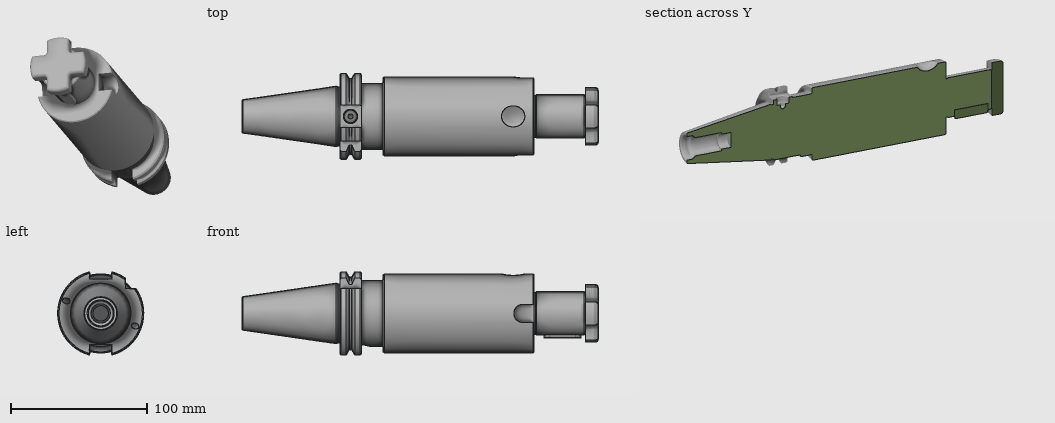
import cadquery as cq
import math


TOTAL_LENGTH = 261.5
GAUGE_X = 69.0
RELIEF_START_X = 70.3
FLANGE_START_X = 71.5
FLANGE_END_X = 87.5
BODY_START_X = 103.5
BODY_END_X = 214.3
ARBOR_END_X = 252.0

TAPER_SMALL_R = 12.3
TAPER_LARGE_R = 22.2
RELIEF_R = 21.7
FLANGE_R = 63.3 / 2
NECK_R = 48.5 / 2
BODY_R = 29.0
ARBOR_R = 16.0
UNDERCUT_R = 15.5
UNDERCUT_WIDTH = 1.0

TAPER_CHAMFER = 0.5
FLANGE_CHAMFER = 1.0
BODY_CHAMFER = 0.8
ARBOR_CHAMFER = 1.0
NECK_FILLET = 0.8

GROOVE_X = 79.5
GROOVE_DEPTH = 3.7
GROOVE_FLOOR_HALF = 1.0
GROOVE_FILLET = 0.5
GROOVE_WALL_ANGLE = 30.0

LEAD_R = 9.1
LEAD_DEPTH = 5.0
THREAD_R = 7.0
THREAD_DEPTH = 28.8
BORE_CHAMFER = 0.8
BORE_END_R = 5.8
BORE_DEPTH = 36.5

DRIVE_SLOT_WIDTH = 16.5
DRIVE_SLOT_ROUND_X = 85.7
UPPER_SLOT_FLOOR = 25.0
LOWER_SLOT_FLOOR = 22.7
NOTCH_SIDE = 18.0
NOTCH_FLOOR = 18.3

CHIP_R = 4.7
CHIP_CHAMFER = 0.5
CHIP_DEPTH = 4.7
CHIP_PILOT_R = 1.8
CHIP_PILOT_DEPTH = 2.5
DRILL_POINT_ANGLE = 118.0

COOLANT_R = 2.0 
COOLANT_CIRCLE_R = 27.0
COOLANT_ANGLE = 20.0
COOLANT_TILT = 40.0
COOLANT_DEPTH = 18.3

CUTTER_SLOT_WIDTH = 13.3
CUTTER_SLOT_START_X = 199.5
CUTTER_SLOT_FLOOR = 18.0

DIMPLE_X = 199.0
DIMPLE_SPHERE_R = 10.5
DIMPLE_CENTRE_Z = 35.0

KEY_START_X = 221.5
KEY_LENGTH = 27.5
KEY_WIDTH = 8.0
KEY_BOTTOM = 18.0
KEY_HEIGHT = 7.0

HEAD_R = 21.2
HEAD_ARM_WIDTH = 16.7
HEAD_CORNER_R = 2.4
HEAD_END_ROUND = 2.4


def turned(points):
    """Solid of revolution about the X axis from (x, radius) points."""
    return cq.Workplane("XZ").polyline(points).close().revolve(360, (0, 0, 0), (1, 0, 0))


def x_slot(start_x, length, width, low_z, height):
    """Round-ended slot along X, standing on the height low_z."""
    return (
        cq.Workplane("XY", origin=(start_x + length / 2, 0, low_z))
        .slot2D(length, width)
        .extrude(height)
    )


def turned_blank():
    undercut_end = BODY_END_X + UNDERCUT_WIDTH
    blank = turned([
        (0, 0),
        (0, TAPER_SMALL_R - TAPER_CHAMFER),
        (TAPER_CHAMFER, TAPER_SMALL_R),
        (GAUGE_X, TAPER_LARGE_R),
        (RELIEF_START_X, RELIEF_R),
        (FLANGE_START_X, RELIEF_R),
        (FLANGE_START_X, FLANGE_R - FLANGE_CHAMFER),
        (FLANGE_START_X + FLANGE_CHAMFER, FLANGE_R),
        (FLANGE_END_X - FLANGE_CHAMFER, FLANGE_R),
        (FLANGE_END_X, FLANGE_R - FLANGE_CHAMFER),
        (FLANGE_END_X, NECK_R),
        (BODY_START_X, NECK_R),
        (BODY_START_X, BODY_R - BODY_CHAMFER),
        (BODY_START_X + BODY_CHAMFER, BODY_R),
        (BODY_END_X - BODY_CHAMFER, BODY_R),
        (BODY_END_X, BODY_R - BODY_CHAMFER),
        (BODY_END_X, UNDERCUT_R),
        (undercut_end, UNDERCUT_R),
        (undercut_end + (ARBOR_R - UNDERCUT_R), ARBOR_R),
        (ARBOR_END_X - ARBOR_CHAMFER, ARBOR_R),
        (ARBOR_END_X, ARBOR_R - ARBOR_CHAMFER),
        (ARBOR_END_X, 0),
    ])
    body_rear_edges = cq.selectors.BoxSelector(
        (BODY_START_X - NECK_FILLET, -BODY_R, -BODY_R),
        (BODY_START_X + BODY_CHAMFER, BODY_R, BODY_R),
    )
    neck_root = cq.selectors.RadiusNthSelector(0)
    return blank.edges(body_rear_edges).edges(neck_root).fillet(NECK_FILLET)


def gripper_groove():
    floor_r = FLANGE_R - GROOVE_DEPTH
    mouth_half = GROOVE_FLOOR_HALF + GROOVE_DEPTH * math.tan(math.radians(GROOVE_WALL_ANGLE))
    groove = turned([
        (GROOVE_X - mouth_half, FLANGE_R),
        (GROOVE_X - GROOVE_FLOOR_HALF, floor_r),
        (GROOVE_X + GROOVE_FLOOR_HALF, floor_r),
        (GROOVE_X + mouth_half, FLANGE_R),
    ])
    floor_edges = cq.selectors.RadiusNthSelector(0)
    return groove.edges(floor_edges).fillet(GROOVE_FILLET)


def threaded_bore():
    return turned([
        (0, 0),
        (0, LEAD_R + BORE_CHAMFER),
        (BORE_CHAMFER, LEAD_R),
        (LEAD_DEPTH, LEAD_R),
        (LEAD_DEPTH + (LEAD_R - THREAD_R), THREAD_R),
        (THREAD_DEPTH, THREAD_R),
        (THREAD_DEPTH, BORE_END_R),
        (BORE_DEPTH, BORE_END_R),
        (BORE_DEPTH, 0),
    ])


def drive_slots():
    start_x = GAUGE_X - DRIVE_SLOT_WIDTH / 2
    length = DRIVE_SLOT_ROUND_X + DRIVE_SLOT_WIDTH / 2 - start_x
    upper = x_slot(start_x, length, DRIVE_SLOT_WIDTH, UPPER_SLOT_FLOOR, FLANGE_R)
    lower = x_slot(start_x, length, DRIVE_SLOT_WIDTH, -LOWER_SLOT_FLOOR - FLANGE_R, FLANGE_R)
    return upper.union(lower)


def orientation_notch():
    return cq.Workplane("XY").box(
        FLANGE_END_X - FLANGE_START_X, FLANGE_R, FLANGE_R, centered=False
    ).translate((FLANGE_START_X, -NOTCH_SIDE - FLANGE_R, NOTCH_FLOOR))


def chip_pocket():
    pocket_floor = UPPER_SLOT_FLOOR - CHIP_DEPTH
    pilot_floor = pocket_floor - CHIP_PILOT_DEPTH
    point_length = CHIP_PILOT_R / math.tan(math.radians(DRILL_POINT_ANGLE / 2))
    return (
        cq.Workplane("XZ", origin=(GROOVE_X, 0, 0))
        .polyline([
            (0, FLANGE_R),
            (CHIP_R + CHIP_CHAMFER, FLANGE_R),
            (CHIP_R + CHIP_CHAMFER, UPPER_SLOT_FLOOR),
            (CHIP_R, UPPER_SLOT_FLOOR - CHIP_CHAMFER),
            (CHIP_R, pocket_floor),
            (CHIP_PILOT_R, pocket_floor),
            (CHIP_PILOT_R, pilot_floor),
            (0, pilot_floor - point_length),
        ])
        .close()
        .revolve(360, (0, 0, 0), (0, 1, 0))
    )


def coolant_hole(angle):
    tilt = math.radians(COOLANT_TILT)
    direction = cq.Vector(math.cos(tilt), -math.sin(tilt), 0)
    mouth = cq.Vector(FLANGE_START_X, COOLANT_CIRCLE_R, 0)
    start = mouth - direction * COOLANT_R
    drill = cq.Solid.makeCylinder(COOLANT_R, COOLANT_DEPTH + COOLANT_R, start, direction)
    return cq.Workplane(obj=drill).rotate((0, 0, 0), (1, 0, 0), angle)


def cutter_slot(side):
    """Drive slot in the -Y (side = -1) or +Y (side = 1) flank of the body."""
    length = BODY_END_X - CUTTER_SLOT_START_X + CUTTER_SLOT_WIDTH
    slot = x_slot(CUTTER_SLOT_START_X, length, CUTTER_SLOT_WIDTH, CUTTER_SLOT_FLOOR, BODY_R)
    return slot.rotate((0, 0, 0), (1, 0, 0), -90 * side)


def dimple():
    return cq.Workplane("XY").sphere(DIMPLE_SPHERE_R).translate((DIMPLE_X, 0, DIMPLE_CENTRE_Z))


def make_key():
    return x_slot(KEY_START_X, KEY_LENGTH, KEY_WIDTH, -KEY_BOTTOM, KEY_HEIGHT)


def make_holder():
    holder = (
        turned_blank()
        .cut(gripper_groove())
        .cut(threaded_bore())
        .cut(drive_slots())
        .cut(orientation_notch())
        .cut(chip_pocket())
        .cut(dimple())
    )
    for half_turn in (0, 180):
        holder = holder.cut(coolant_hole(COOLANT_ANGLE + half_turn))
    for side in (-1, 1):
        holder = holder.cut(cutter_slot(side))
    return holder.cut(make_key())


def make_screw():
    thickness = TOTAL_LENGTH - ARBOR_END_X
    face = cq.Workplane("YZ", origin=(ARBOR_END_X, 0, 0))
    disc = face.circle(HEAD_R).extrude(thickness)
    cross = (
        face.rect(2 * HEAD_R, HEAD_ARM_WIDTH).extrude(thickness)
        .union(face.rect(HEAD_ARM_WIDTH, 2 * HEAD_R).extrude(thickness))
    )
    inner_corners = cq.selectors.BoxSelector(
        (ARBOR_END_X, -HEAD_ARM_WIDTH, -HEAD_ARM_WIDTH),
        (TOTAL_LENGTH, HEAD_ARM_WIDTH, HEAD_ARM_WIDTH),
    )
    cross = cross.edges("|X").edges(inner_corners).fillet(HEAD_CORNER_R)
    return cross.intersect(disc).faces(">X").edges().fillet(HEAD_END_ROUND)


holder = make_holder()
key = make_key()
screw = make_screw()

result = cq.Compound.makeCompound([holder.val(), key.val(), screw.val()])